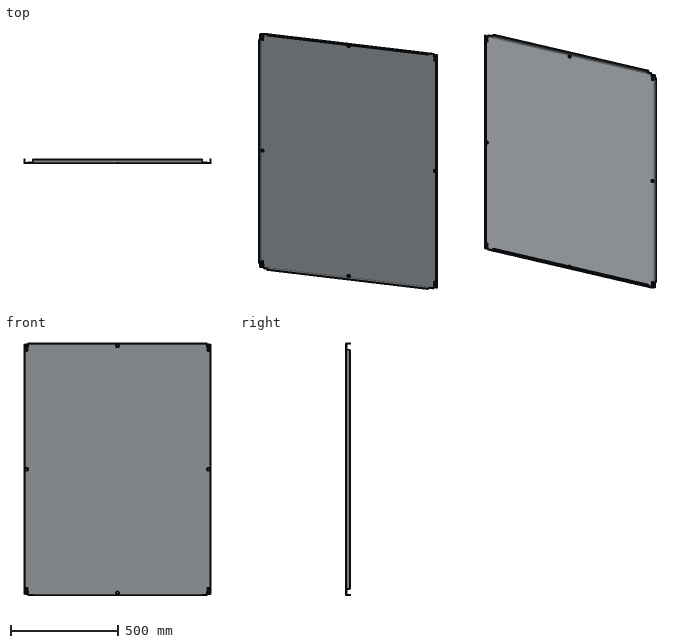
import cadquery as cq
import math

width = 868.0
depth = 19.0
height = 1173.0

sheet = 2.0
bend_radius = 4.1
free_corner = 4.0

end_bend_length = width - 2 * 19.0
end_flange_length = width - 2 * 39.0
side_bend_length = height - 2 * 7.0
side_flange_length = height - 2 * 29.0

slot_inner = 16.0
slot_outer = 9.0
slot_depth = 18.0

corner_hole = 8.0
corner_hole_side = 12.0
corner_hole_end = 30.0
middle_hole = 12.0
middle_hole_inset = 12.0

front = -depth / 2
back = depth / 2
both_signs = (-1, 1)


def flat_sheet():
    """Flat front of the panel, reaching to where the bends begin."""
    return (
        cq.Workplane("XY")
        .box(width - 2 * bend_radius, sheet, height - 2 * bend_radius)
        .translate((0, front + sheet / 2, 0))
    )


def folded_edge(bend_length, flange_length):
    """Bend and flange running along X, with the outer face of the flange at Z = 0."""
    bend_end = front + bend_radius
    inner_radius = bend_radius - sheet
    outer_reach = bend_radius * math.sqrt(0.5)
    inner_reach = inner_radius * math.sqrt(0.5)
    bend = (
        cq.Workplane("YZ")
        .moveTo(front, -bend_radius)
        .threePointArc((bend_end - outer_reach, outer_reach - bend_radius), (bend_end, 0))
        .lineTo(bend_end, -sheet)
        .threePointArc(
            (bend_end - inner_reach, inner_reach - bend_radius),
            (front + sheet, -bend_radius),
        )
        .close()
        .extrude(bend_length / 2, both=True)
    )
    flange = (
        cq.Workplane("XY")
        .box(flange_length, back - bend_end, sheet, centered=(True, False, False))
        .translate((0, bend_end, -sheet))
        .edges("|Z and >Y")
        .chamfer(free_corner)
    )
    return bend.union(flange)


def place_edge(edge, distance, angle):
    """Move a folded edge out from the centre and turn it about Y."""
    return edge.translate((0, 0, distance)).rotate((0, 0, 0), (0, 1, 0), angle)


def corner_slot(x_sign, z_sign):
    """Cutter for the relief slot of one corner, open at the end edge."""
    slot_x = width / 2 - (slot_inner + slot_outer) / 2
    return (
        cq.Workplane("XY")
        .box(slot_inner - slot_outer, 2 * bend_radius, 2 * slot_depth)
        .translate((x_sign * slot_x, front, z_sign * height / 2))
    )


def hole_cutters(points, diameter):
    """Round cutters through the sheet at the given (x, z) points."""
    return (
        cq.Workplane("XZ", origin=(0, front + bend_radius, 0))
        .pushPoints(points)
        .circle(diameter / 2)
        .extrude(bend_radius)
    )


end_edge = folded_edge(end_bend_length, end_flange_length)
side_edge = folded_edge(side_bend_length, side_flange_length)
result = flat_sheet()
for turn in (0, 180):
    result = result.union(place_edge(end_edge, height / 2, turn))
    result = result.union(place_edge(side_edge, width / 2, turn + 90))

for x_sign in both_signs:
    for z_sign in both_signs:
        result = result.cut(corner_slot(x_sign, z_sign))

corner_x = width / 2 - corner_hole_side
corner_z = height / 2 - corner_hole_end
middle_x = width / 2 - middle_hole_inset
middle_z = height / 2 - middle_hole_inset
corner_points = [(i * corner_x, k * corner_z) for i in both_signs for k in both_signs]
middle_points = [(-middle_x, 0), (middle_x, 0), (0, -middle_z), (0, middle_z)]
result = result.cut(hole_cutters(corner_points, corner_hole))
result = result.cut(hole_cutters(middle_points, middle_hole))